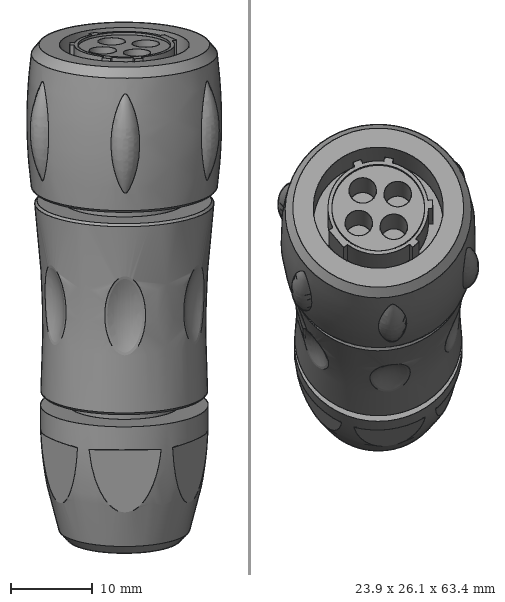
import cadquery as cq
import math


OVERALL_HEIGHT = 63.35
GLAND_TOP = 17.65
SLEEVE_BOTTOM = 19.1
SLEEVE_TOP = 43.55
NUT_BOTTOM = 45.1

LOWER_NECK_RADIUS = 6.8
UPPER_NECK_RADIUS = 7.55

GLAND_RADIUS = 10.28
GLAND_SHOULDER_RADIUS = 8.03
GLAND_SHOULDER_HEIGHT = 1.85
GLAND_BEVEL_RADIUS = 6.95
GLAND_BEVEL_HEIGHT = 0.68
GLAND_BASE_RADIUS = 4.2
FLAT_COUNT = 6
FLAT_DISTANCE = 9.27
FLAT_BOTTOM = 6.5
FLAT_TOP = 14.5
FLAT_LEDGE_TILT = 12

SLEEVE_BOTTOM_RADIUS = 10.22
SLEEVE_WAIST_RADIUS = 10.0
SLEEVE_WAIST_HEIGHT = 27.4
SLEEVE_TOP_RADIUS = 10.98
EDGE_CHAMFER = 0.3

DIMPLE_COUNT = 6
DIMPLE_HEIGHT = 31.27
DIMPLE_DEPTH = 0.8
DIMPLE_LENGTH_RADIUS = 12.85
DIMPLE_WIDTH_RADIUS = 4.8
DIMPLE_CHAMFER = 0.18

NUT_END_RADIUS = 11.4
NUT_BULGE_RADIUS = 11.93
NUT_TOP_RADIUS = 10.45
NUT_CHAMFER_HEIGHT = 1.15

RIB_COUNT = 6
RIB_HEIGHT = 53.95
RIB_TIP_RADIUS = 13.07
RIB_LENGTH_RADIUS = 14.5
RIB_WIDTH_RADIUS = 1.85

SOCKET_RADIUS = 7.95
SOCKET_DEPTH = 5.3
SOCKET_FLOOR = OVERALL_HEIGHT - SOCKET_DEPTH
INSERT_RADIUS = 6.15
INSERT_FACE_RADIUS = 5.68
INSERT_FACE_DEPTH = 0.3
CONTACT_COUNT = 4
CONTACT_RADIUS = 1.67
CONTACT_CIRCLE_RADIUS = 3.05
MAIN_KEY_ANGLE = 90
MAIN_KEY_WIDTH = 2.9
MAIN_KEY_REACH = 6.58
SMALL_KEY_ANGLES = (185, 235.5, 310, 344.5)
SMALL_KEY_WIDTH = 1.07
SMALL_KEY_REACH = 6.68

FIRST_GRIP_ANGLE = 30


def around_axis(shape, count):
    """Copies of a shape built on +X, spread evenly about Z and joined."""
    copies = cq.Workplane("XY")
    for index in range(count):
        angle = FIRST_GRIP_ANGLE + index * 360 / count
        copies = copies.add(shape.rotate((0, 0, 0), (0, 0, 1), angle))
    return copies.combine()


def make_spindle(axis_distance, height, radius, length_radius):
    """Pointed spindle: an arc of length_radius turned about an upright axis on +X."""
    half_length = math.sqrt(length_radius**2 - (length_radius - radius) ** 2)
    return (
        cq.Workplane("XZ", origin=(axis_distance, 0, height))
        .moveTo(0, -half_length)
        .threePointArc((radius, 0), (0, half_length))
        .close()
        .revolve(360, (0, 0), (0, 1))
    )


def make_gland():
    outline = (
        cq.Workplane("XZ")
        .moveTo(0, GLAND_TOP)
        .lineTo(GLAND_RADIUS, GLAND_TOP)
        .threePointArc((FLAT_DISTANCE, FLAT_BOTTOM), (GLAND_SHOULDER_RADIUS, GLAND_SHOULDER_HEIGHT))
        .lineTo(GLAND_BEVEL_RADIUS, GLAND_BEVEL_HEIGHT)
        .lineTo(GLAND_BASE_RADIUS, 0)
        .lineTo(0, 0)
        .close()
    )
    gland = outline.revolve(360, (0, 0), (0, 1))
    return gland.cut(around_axis(make_flat_cutter(), FLAT_COUNT))


def make_flat_cutter():
    """Wedge on +X that leaves a flat under a tilted ledge."""
    reach = 2 * (GLAND_RADIUS - FLAT_DISTANCE)
    ledge_rise = reach * math.tan(math.radians(FLAT_LEDGE_TILT))
    width = 2 * FLAT_DISTANCE * math.tan(math.pi / FLAT_COUNT)
    return (
        cq.Workplane("XZ")
        .moveTo(FLAT_DISTANCE, 0)
        .lineTo(FLAT_DISTANCE + reach, 0)
        .lineTo(FLAT_DISTANCE + reach, FLAT_TOP + ledge_rise)
        .lineTo(FLAT_DISTANCE, FLAT_TOP)
        .close()
        .extrude(width / 2, both=True)
    )


def make_cylinder(radius, bottom, top):
    return cq.Workplane("XY", origin=(0, 0, bottom)).circle(radius).extrude(top - bottom)


def make_sleeve():
    outline = (
        cq.Workplane("XZ")
        .moveTo(0, SLEEVE_BOTTOM)
        .lineTo(SLEEVE_BOTTOM_RADIUS - EDGE_CHAMFER, SLEEVE_BOTTOM)
        .lineTo(SLEEVE_BOTTOM_RADIUS, SLEEVE_BOTTOM + EDGE_CHAMFER)
        .threePointArc(
            (SLEEVE_WAIST_RADIUS, SLEEVE_WAIST_HEIGHT),
            (SLEEVE_TOP_RADIUS, SLEEVE_TOP - EDGE_CHAMFER),
        )
        .lineTo(SLEEVE_TOP_RADIUS - EDGE_CHAMFER, SLEEVE_TOP)
        .lineTo(0, SLEEVE_TOP)
        .close()
    )
    sleeve = outline.revolve(360, (0, 0), (0, 1))
    sleeve = sleeve.cut(around_axis(make_dimple_cutter(), DIMPLE_COUNT))
    return sleeve.edges("not %LINE").edges("not %CIRCLE").chamfer(DIMPLE_CHAMFER)


def make_dimple_cutter():
    """Barrel-shaped cutter: a long arc turned about an upright axis outside the sleeve."""
    axis_distance = SLEEVE_WAIST_RADIUS - DIMPLE_DEPTH + DIMPLE_WIDTH_RADIUS
    return make_spindle(axis_distance, DIMPLE_HEIGHT, DIMPLE_WIDTH_RADIUS, DIMPLE_LENGTH_RADIUS)


def make_nut():
    nut_edge_height = OVERALL_HEIGHT - NUT_CHAMFER_HEIGHT
    outline = (
        cq.Workplane("XZ")
        .moveTo(0, NUT_BOTTOM)
        .lineTo(NUT_END_RADIUS - EDGE_CHAMFER, NUT_BOTTOM)
        .lineTo(NUT_END_RADIUS, NUT_BOTTOM + EDGE_CHAMFER)
        .threePointArc((NUT_BULGE_RADIUS, RIB_HEIGHT), (NUT_END_RADIUS, nut_edge_height))
        .lineTo(NUT_TOP_RADIUS, OVERALL_HEIGHT)
        .lineTo(0, OVERALL_HEIGHT)
        .close()
    )
    nut = outline.revolve(360, (0, 0), (0, 1))
    rib = make_spindle(RIB_TIP_RADIUS - RIB_WIDTH_RADIUS, RIB_HEIGHT, RIB_WIDTH_RADIUS, RIB_LENGTH_RADIUS)
    nut = nut.union(around_axis(rib, RIB_COUNT))
    socket = make_cylinder(SOCKET_RADIUS, SOCKET_FLOOR, OVERALL_HEIGHT)
    return nut.cut(socket).union(make_insert())


def make_key(angle, width, reach):
    return (
        cq.Workplane("XY", origin=(0, 0, SOCKET_FLOOR))
        .center(reach / 2, 0)
        .rect(reach, width)
        .extrude(SOCKET_DEPTH)
        .rotate((0, 0, 0), (0, 0, 1), angle)
    )


def make_insert():
    """Keyed contact carrier standing in the socket."""
    insert = make_cylinder(INSERT_RADIUS, SOCKET_FLOOR, OVERALL_HEIGHT)
    insert = insert.union(make_key(MAIN_KEY_ANGLE, MAIN_KEY_WIDTH, MAIN_KEY_REACH))
    for angle in SMALL_KEY_ANGLES:
        insert = insert.union(make_key(angle, SMALL_KEY_WIDTH, SMALL_KEY_REACH))
    insert = insert.cut(make_cylinder(INSERT_FACE_RADIUS, OVERALL_HEIGHT - INSERT_FACE_DEPTH, OVERALL_HEIGHT))
    contacts = (
        cq.Workplane("XY", origin=(0, 0, SOCKET_FLOOR))
        .polarArray(CONTACT_CIRCLE_RADIUS, 0, 360, CONTACT_COUNT)
        .circle(CONTACT_RADIUS)
        .extrude(SOCKET_DEPTH)
    )
    return insert.cut(contacts)


result = (
    make_gland()
    .union(make_cylinder(LOWER_NECK_RADIUS, GLAND_TOP, SLEEVE_BOTTOM))
    .union(make_sleeve())
    .union(make_cylinder(UPPER_NECK_RADIUS, SLEEVE_TOP, NUT_BOTTOM))
    .union(make_nut())
)